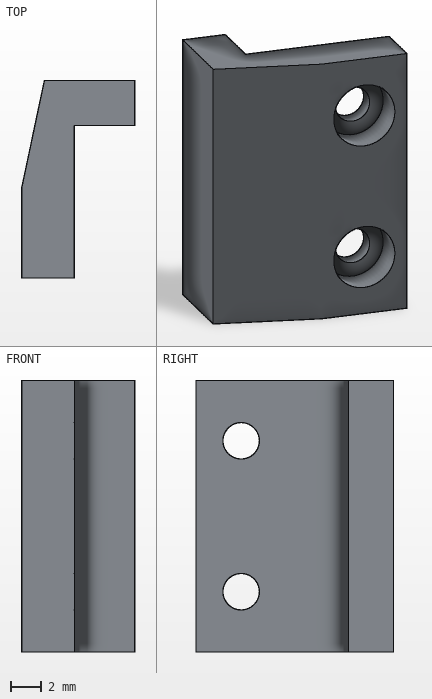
import cadquery as cq

WIDTH = 7.5
DEPTH = 13.1
HEIGHT = 18.0

WALL_THICKNESS = 3.5
FLANGE_THICKNESS = 3.0
FLAT_LENGTH = 6.0
TAPER_OFFSET = 1.5

HOLE_DIAMETER = 2.4
COUNTERBORE_DIAMETER = 4.3
COUNTERBORE_DEPTH = 2.3
HOLE_Y = 3.0
HOLE_SPACING = 10.0


def make_bracket():
    """Extrude the L-shaped profile with its tapered outer face along Z."""
    return (
        cq.Workplane("XY")
        .moveTo(0, 0)
        .lineTo(WALL_THICKNESS, 0)
        .lineTo(WALL_THICKNESS, DEPTH - FLANGE_THICKNESS)
        .lineTo(WIDTH, DEPTH - FLANGE_THICKNESS)
        .lineTo(WIDTH, DEPTH)
        .lineTo(TAPER_OFFSET, DEPTH)
        .lineTo(0, FLAT_LENGTH)
        .close()
        .extrude(HEIGHT)
    )


def cut_screw_holes(body):
    """Cut the counterbored holes, entering from the outer face at X = 0."""
    first_hole_z = (HEIGHT - HOLE_SPACING) / 2
    hole_centers = [(HOLE_Y, first_hole_z), (HOLE_Y, first_hole_z + HOLE_SPACING)]
    outer_face = cq.Workplane("YZ").pushPoints(hole_centers)
    through_holes = outer_face.circle(HOLE_DIAMETER / 2).extrude(WALL_THICKNESS)
    counterbores = outer_face.circle(COUNTERBORE_DIAMETER / 2).extrude(COUNTERBORE_DEPTH)
    return body.cut(through_holes).cut(counterbores)


result = cut_screw_holes(make_bracket())